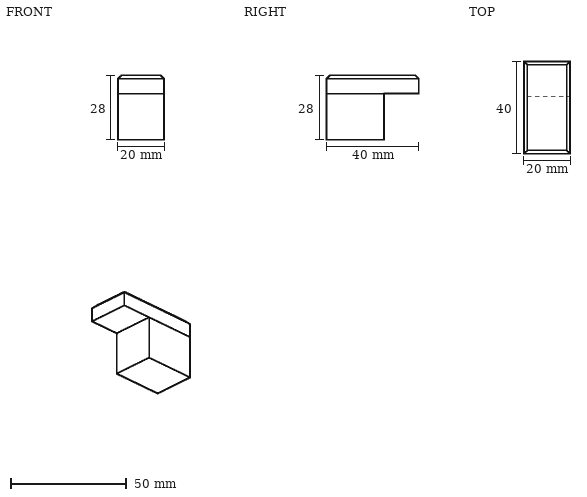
import cadquery as cq

width = 20.0
plate_length = 40.0
total_height = 28.0

plate_thickness = 8.0
plate_chamfer = 1.5

block_length = 25.0
block_height = total_height - plate_thickness


def make_block():
    """Plain block standing on Z = 0 with its front face at Y = 0."""
    return cq.Workplane("XY").box(width, block_length, block_height, centered=(True, False, False))


def make_plate():
    """Plate lying on the block and overhanging it at the back, with a chamfered top rim."""
    return (
        cq.Workplane("XY")
        .workplane(offset=block_height)
        .box(width, plate_length, plate_thickness, centered=(True, False, False))
        .faces(">Z")
        .edges()
        .chamfer(plate_chamfer)
    )


block = make_block()
plate = make_plate()

result = cq.Compound.makeCompound([block.val(), plate.val()])